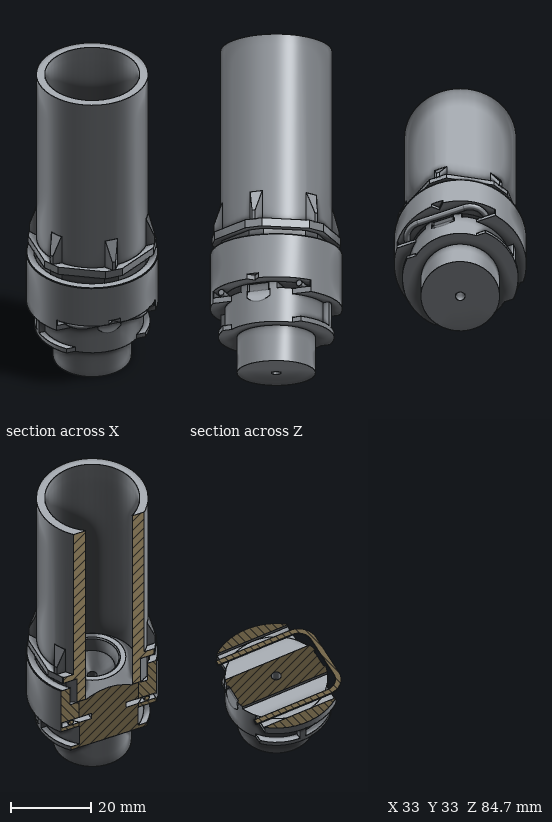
import cadquery as cq
import math

total_height = 84.7
nut_radius = 16.5
plug_radius = 12.9
tube_radius = 14.0
tube_bore_radius = 11.9

collar_bottom = 9.3
collar_top = 10.6
tab_bottom = 16.8
clip_slot_bottom = 18.2
nut_bottom = 19.8
nut_seat = 25.4
nut_top = 31.25
flange_bottom = 33.5
flange_top = 35.7

flange_flat_distance = 14.9
flange_corner_distance = 15.9
neck_flat_distance = 13.05
rib_count = 6
rib_outer_radius = 15.8
rib_root_radius = 13.7
rib_root_half_width = 1.8
rib_tip_half_width = 0.4
rib_shoulder_height = 38.0
rib_top = 43.5

nut_counterbore_radius = 14.6
nut_edge_chamfer = 0.2
tab_half_width = 10.0
notch_half_width = 1.6
notch_depth = 1.6
notch_height = 1.3

stem_radius = 9.8
collar_radius = 14.5
key_width = 1.7
slot_core_half_width = 4.8
nose_bottom_radius = tube_bore_radius
nose_top_radius = 8.4
nose_top = nut_seat + nose_bottom_radius - nose_top_radius
mouth_radius = 7.0
mouth_chamfer = 0.3
funnel_top_radius = 5.7
mouth_depth = 3.4
funnel_top = nose_top - mouth_depth
through_hole_radius = 1.2
funnel_depth = 3.0
funnel_bottom = funnel_top - funnel_depth

recess_bottom = 14.9
recess_step_height = 17.95
recess_half_width = 3.05
recess_floor_half_width = 2.5
recess_depth = 0.85

wire_radius = 0.8
clip_leg_offset = 10.4
clip_clearance = 0.1
clip_bar_x = plug_radius + clip_clearance + wire_radius
clip_end_x = -11.3
clip_bend_radius = 4.2
clip_height = clip_slot_bottom + wire_radius


def cylinder(radius, bottom, top):
    return cq.Workplane("XY").workplane(offset=bottom).circle(radius).extrude(top - bottom)


def block(x_size, y_size, bottom, top, y=0.0):
    base = cq.Workplane("XY").workplane(offset=bottom).center(0, y)
    return base.rect(x_size, y_size).extrude(top - bottom)


def cut_hexagon(flat_distance, corner_distance, bottom, top):
    """Hexagonal prism with flats on the Y sides, its corners cut off flat at corner_distance."""
    def prism(distance):
        corner_circle = 2 * distance / math.cos(math.pi / 6)
        return cq.Workplane("XY").workplane(offset=bottom).polygon(6, corner_circle).extrude(top - bottom)

    corner_cutter = prism(corner_distance).rotate((0, 0, 0), (0, 0, 1), 30)
    return prism(flat_distance).intersect(corner_cutter)


def make_rib(angle):
    """Tapered rib: narrow at its outer edge, its back sloping in to the tube wall at the top."""
    root = rib_root_radius
    plan = [
        (root, -rib_root_half_width),
        (rib_outer_radius, -rib_tip_half_width),
        (rib_outer_radius, rib_tip_half_width),
        (root, rib_root_half_width),
    ]
    profile = [
        (root, flange_top),
        (rib_outer_radius, flange_top),
        (rib_outer_radius, rib_shoulder_height),
        (tube_radius, rib_top),
        (root, rib_top),
    ]
    column = cq.Workplane("XY").workplane(offset=flange_top).polyline(plan).close()
    column = column.extrude(rib_top - flange_top)
    side = cq.Workplane("XZ").polyline(profile).close().extrude(rib_root_half_width, both=True)
    return column.intersect(side).rotate((0, 0, 0), (0, 0, 1), angle)


def make_tube():
    tube = cylinder(tube_radius, flange_top, total_height)
    tube = tube.union(cut_hexagon(flange_flat_distance, flange_corner_distance, flange_bottom, flange_top))
    tube = tube.union(cut_hexagon(neck_flat_distance, tube_radius, nut_seat, flange_bottom))
    for index in range(rib_count):
        tube = tube.union(make_rib(index * 360 / rib_count))
    return tube.cut(cylinder(tube_bore_radius, nut_seat, total_height))


def make_notch(side):
    """V notch in the lower edge of the nut on the +X (side = 1) or -X (side = -1) side."""
    outline = [
        (side * nut_radius, -notch_half_width),
        (side * (nut_radius - notch_depth), 0),
        (side * nut_radius, notch_half_width),
    ]
    return cq.Workplane("XY").workplane(offset=nut_bottom).polyline(outline).close().extrude(notch_height)


def make_nut():
    ring = cylinder(nut_radius, nut_bottom, nut_top)
    ring = ring.faces(">Z").edges().chamfer(nut_edge_chamfer)
    tabs = cylinder(nut_radius, tab_bottom, nut_bottom)
    tabs = tabs.intersect(block(2 * tab_half_width, 2 * nut_radius, tab_bottom, nut_bottom))
    nut = ring.union(tabs).cut(cylinder(plug_radius, tab_bottom, nut_seat))
    nut = nut.cut(cylinder(nut_counterbore_radius, nut_seat, nut_top))
    nut = nut.cut(block(2 * tab_half_width, 2 * plug_radius, clip_slot_bottom, nut_bottom))
    for side in (-1, 1):
        nut = nut.cut(make_notch(side))
    return nut


def make_recess(side):
    """Recess with a sloping lower face and an upright upper face between tapered sides."""
    floor_x = plug_radius - recess_depth
    slope = (
        cq.Workplane("XZ")
        .polyline([
            (side * plug_radius, recess_bottom),
            (side * plug_radius, recess_step_height),
            (side * floor_x, recess_step_height),
        ])
        .close()
        .extrude(recess_half_width, both=True)
    )
    upper = (
        cq.Workplane("XY")
        .workplane(offset=recess_step_height)
        .polyline([
            (side * floor_x, -recess_floor_half_width),
            (side * plug_radius, -recess_half_width),
            (side * plug_radius, recess_half_width),
            (side * floor_x, recess_floor_half_width),
        ])
        .close()
        .extrude(nut_bottom - recess_step_height)
    )
    return slope.union(upper)


def make_plug():
    half_profile = [
        (through_hole_radius, 0),
        (stem_radius, 0),
        (stem_radius, collar_bottom),
        (plug_radius, collar_bottom),
        (plug_radius, nut_seat),
        (nose_bottom_radius, nut_seat),
        (nose_top_radius, nose_top),
        (mouth_radius, nose_top),
        (mouth_radius - mouth_chamfer, nose_top - mouth_chamfer),
        (funnel_top_radius, funnel_top),
        (through_hole_radius, funnel_bottom),
    ]
    plug = cq.Workplane("XZ").polyline(half_profile).close().revolve(360, (0, 0), (0, 1))

    collar = cylinder(collar_radius, collar_bottom, collar_top)
    collar = collar.intersect(block(2 * tab_half_width, 2 * collar_radius, collar_bottom, collar_top))
    keys = cylinder(collar_radius, collar_bottom, tab_bottom)
    keys = keys.intersect(block(key_width, 2 * collar_radius, collar_bottom, tab_bottom))
    added = collar.union(keys).cut(cylinder(stem_radius, collar_bottom, tab_bottom))
    plug = plug.union(added)

    slot_width = plug_radius - slot_core_half_width
    slot_y = (plug_radius + slot_core_half_width) / 2
    for side in (-1, 1):
        plug = plug.cut(
            block(2 * plug_radius, slot_width, clip_slot_bottom, nut_bottom, y=side * slot_y)
        )
        plug = plug.cut(make_recess(side))
    return plug


def make_clip():
    bend_x = clip_bar_x - clip_bend_radius
    bend_y = clip_leg_offset - clip_bend_radius
    arc_reach = clip_bend_radius * math.sqrt(0.5)
    path = (
        cq.Workplane("XY", origin=(0, 0, clip_height))
        .moveTo(clip_end_x, -clip_leg_offset)
        .lineTo(bend_x, -clip_leg_offset)
        .threePointArc((bend_x + arc_reach, -bend_y - arc_reach), (clip_bar_x, -bend_y))
        .lineTo(clip_bar_x, bend_y)
        .threePointArc((bend_x + arc_reach, bend_y + arc_reach), (bend_x, clip_leg_offset))
        .lineTo(clip_end_x, clip_leg_offset)
    )
    start = cq.Workplane("YZ", origin=(clip_end_x, -clip_leg_offset, clip_height))
    return start.circle(wire_radius).sweep(path)


tube = make_tube()
nut = make_nut()
plug = make_plug()
clip = make_clip()

result = cq.Compound.makeCompound([tube.val(), nut.val(), plug.val(), clip.val()])